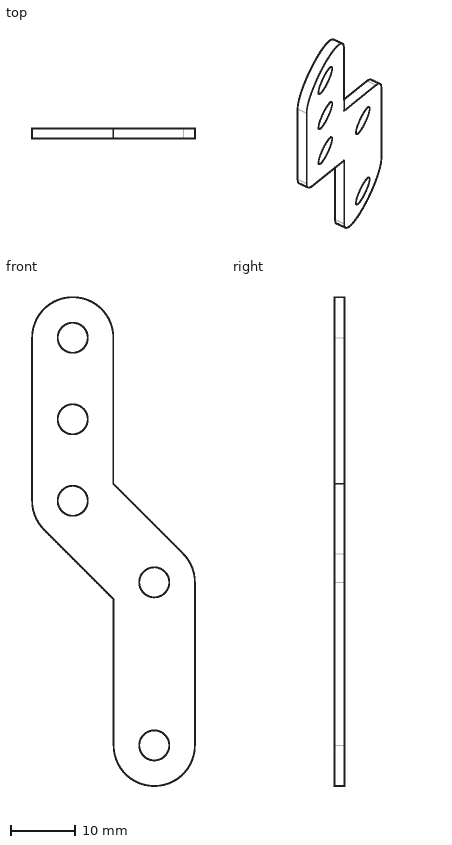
import cadquery as cq
import math

length = 76.2
thickness = 1.6
hole_diameter = 4.65

pitch = length / 6
strap_width = pitch

left_x = -pitch / 2
right_x = pitch / 2
top_end = (left_x, 2.5 * pitch)
upper_bend = (left_x, 0.5 * pitch)
lower_bend = (right_x, -0.5 * pitch)
bottom_end = (right_x, -2.5 * pitch)
middle_hole = (left_x, 1.5 * pitch)


def strap(start, end):
    """Round-ended flat bar between two centres in the XZ plane."""
    dx = end[0] - start[0]
    dz = end[1] - start[1]
    middle = ((start[0] + end[0]) / 2, (start[1] + end[1]) / 2)
    return (
        cq.Workplane("XZ")
        .center(*middle)
        .slot2D(math.hypot(dx, dz) + strap_width, strap_width, math.degrees(math.atan2(dz, dx)))
        .extrude(thickness / 2, both=True)
    )


plate = (
    strap(top_end, upper_bend)
    .union(strap(upper_bend, lower_bend))
    .union(strap(lower_bend, bottom_end))
    .clean()
)

holes = (
    cq.Workplane("XZ")
    .pushPoints([top_end, middle_hole, upper_bend, lower_bend, bottom_end])
    .circle(hole_diameter / 2)
    .extrude(thickness, both=True)
)

result = plate.cut(holes)